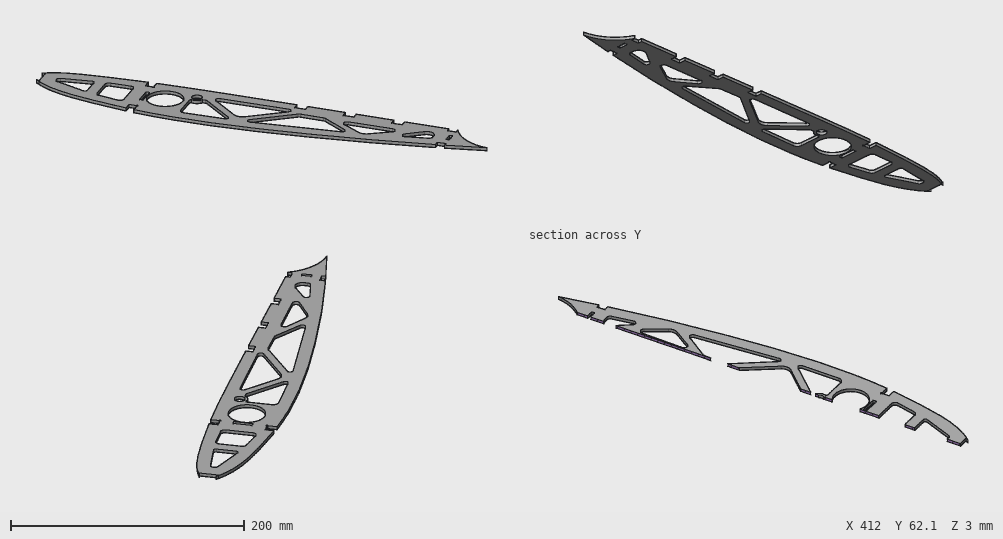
import cadquery as cq

chord = 412.0
height = 62.0
thickness = 3.0

nose_upper = (0, 49.5)
nose_lower = (0, 34.5)
tail_peak = (376.0, 56.63)
tail_middle = (390.5, 38.7)
tail_tip = (chord, 30.5)
upper_skin = [(15.2, 55.0), (40.0, 59.0), (112.0, height), (172.5, 61.57), (267.3, 59.5), tail_peak]
lower_skin = [(326.5, 15.0), (260.0, 6.0), (154.0, 0), (99, 3.7), (55.0, 11.5), (15.2, 24.5), nose_lower]

nose_recess_depth = 3.0
nose_recess_bottom = 33.5
nose_recess_top = 50.2

spar_left = 92.3
spar_right = 99.5
spar_top_floor = 54.0
spar_bottom_floor = 12.5
relief_radius = 1.0

stringer_width = 10.0
stringer_notches = [(228.0, 54.0), (272.5, 52.7), (317.0, 51.5)]

rear_left = 367.8
rear_right = 375.5
rear_top_floor = 52.7
rear_bottom_floor = 26.8
slit_left = 372.7
slit_bottom = 35.5
slit_top = 44.0

tube_center = (117.5, 34.0)
tube_radius = 16.0
slot_left = 97.0
slot_right = 100.5
slot_bottom = 25.0
slot_top = 42.0

small_hole_center = (142.0, 46.0)
small_hole_radius = 4.5
ring_radius = 7.0

nose_window = [(16.0, 43.5, 3.0), (48.5, 47.8, 2.0), (48.5, 25.0, 2.0), (16.0, 38.0, 3.0)]
front_window = [(58.5, 49.0, 3.7), (84.5, 49.0, 3.7), (84.5, 17.0, 3.7), (58.5, 22.5, 3.7)]
ring_window = [(138.0, 39.0, 2.0), (145.5, 43.0, 1.2), (152.0, 43.0, 2.0), (185.7, 12.0, 2.5), (138.0, 12.0, 5.0)]
middle_window = [(154.0, 50.2, 3.0), (233.5, 49.0, 3.0), (189.0, 18.0, 8.2)]
long_window = [(192.7, 12.0, 2.5), (236.5, 43.0, 3.5), (260.0, 42.0, 3.5), (290.5, 20.5, 3.0)]
rear_window = [(270.5, 41.5, 3.5), (333.5, 40.5, 3.5), (301.5, 21.0, 8.2)]
tail_window = [(325.0, 26.5, 3.0), (360.5, 51.5, 6.5), (360.5, 33.0, 3.5)]
plain_windows = [nose_window, front_window, middle_window, long_window, rear_window, tail_window]


def block(left, right, bottom, top):
    """Rectangular cutter through the full thickness."""
    cutter = cq.Workplane("XY").box(right - left, top - bottom, thickness, centered=False)
    return cutter.translate((left, bottom, 0))


def disc(center, radius):
    """Round cutter through the full thickness."""
    return cq.Workplane("XY").center(*center).circle(radius).extrude(thickness)


def window(corners):
    """Polygonal cutter with each upright edge rounded by its own radius."""
    points = [(x, y) for x, y, radius in corners]
    cutter = cq.Workplane("XY").polyline(points).close().extrude(thickness)
    for x, y, radius in corners:
        corner_edge = cq.selectors.NearestToPointSelector((x, y, thickness / 2))
        cutter = cutter.edges("|Z").edges(corner_edge).fillet(radius)
    return cutter


result = (
    cq.Workplane("XY")
    .moveTo(*nose_upper)
    .spline(upper_skin, includeCurrent=True)
    .threePointArc(tail_middle, tail_tip)
    .spline(lower_skin, includeCurrent=True)
    .close()
    .extrude(thickness)
)

nose_recess = (
    cq.Workplane("XY")
    .polyline([
        nose_lower,
        (nose_recess_depth, nose_recess_bottom),
        (nose_recess_depth, nose_recess_top),
        nose_upper,
    ])
    .close()
    .extrude(thickness)
)
result = result.cut(nose_recess)

result = result.cut(block(spar_left, spar_right, spar_top_floor, height))
result = result.cut(block(spar_left, spar_right, 0, spar_bottom_floor))
for floor in (spar_top_floor, spar_bottom_floor):
    result = result.cut(disc((spar_right, floor), relief_radius))

for left, floor in stringer_notches:
    result = result.cut(block(left, left + stringer_width, floor, height))

result = result.cut(block(rear_left, rear_right, rear_top_floor, height))
result = result.cut(block(rear_left, rear_right, 0, rear_bottom_floor))
result = result.cut(block(slit_left, rear_right, slit_bottom, slit_top))

result = result.cut(disc(tube_center, tube_radius))
result = result.cut(block(slot_left, slot_right, slot_bottom, slot_top))
result = result.cut(disc(small_hole_center, small_hole_radius))

for corners in plain_windows:
    result = result.cut(window(corners))
result = result.cut(window(ring_window).cut(disc(small_hole_center, ring_radius)))